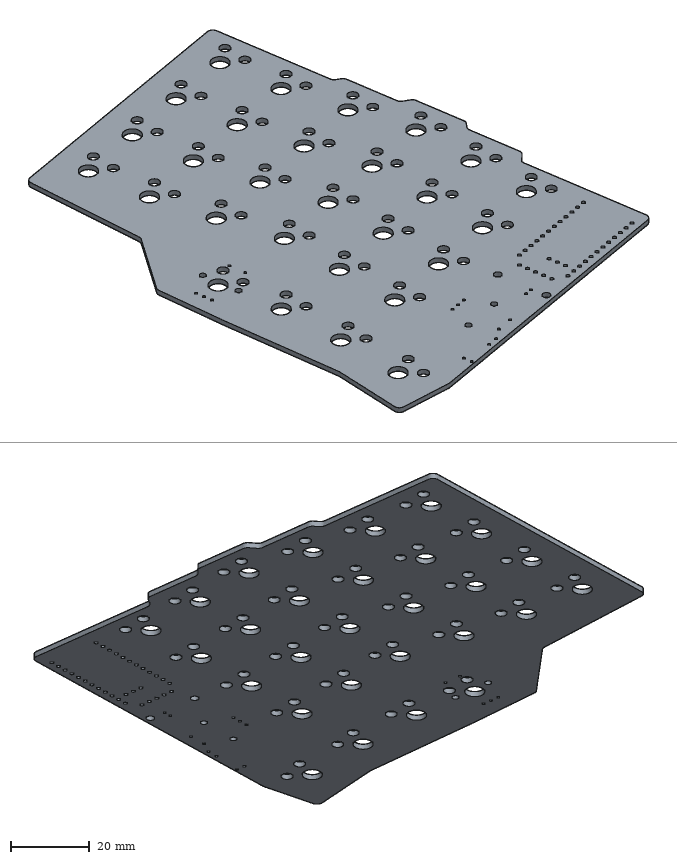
import cadquery as cq
import math

length = 137.8
depth = 109.8
thickness = 1.5

corner_radius = 1.7

outer_columns_top = 104.5
ring_column_top = 106.9
middle_column_top = depth
index_column_top = 107.5
controller_top = 104.0

outline_corners = [
    (0, outer_columns_top),
    (37.9, outer_columns_top),
    (39.8, ring_column_top),
    (57.0, ring_column_top),
    (59.4, middle_column_top),
    (75.8, middle_column_top),
    (77.8, index_column_top),
    (95.0, index_column_top),
    (97.1, controller_top),
    (length, controller_top),
    (length, 16.3),
    (133.9, -0.3),
    (112.3, 4.0),
    (76.2, 4.7),
    (54.1, 5.6),
    (37.9, 21.2),
    (0, 24.2),
]

row_count = 4
row_span = 57.2
column_span = 95.3
first_column_x = 10.3
bottom_row_heights = [36.8, 36.8, 39.3, 42.3, 39.7, 37.2]

thumb_switches = [
    (65.6, 16.3, 0),
    (84.6, 17.2, 0),
    (104.5, 15.3, -5.5),
    (124.5, 12.4, -12.5),
]
stem_hole = 5.1
socket_hole = 3.0
socket_pins = [(-2.6, 5.8), (4.4, 4.7)]

encoders = [(65.6, 17.4, 0), (127.1, 44.9, -90)]
encoder_lug_hole = 1.8
encoder_lug_span = 11.2
encoder_pin_hole = 0.75
encoder_row_span = 5.0
encoder_row_gap = 14.5

header_hole = 1.0
header_pin_count = 12
header_span = 27.8
header_columns = [120.1, 135.3]
header_bottom = 71.2
short_rows = [(127.1, 74.4, 3), (122.6, 67.8, 5)]

mount_hole = 2.2
mount_holes = [(120.5, 61.3), (135.7, 61.3)]

small_hole = 0.75
small_holes = [
    (131.1, 60.9), (131.1, 58.8),
    (136.2, 38.7), (136.2, 35.7),
    (134.5, 27.1), (136.9, 27.1),
]



def place(points, x, y, angle):
    """Turn points about the origin by angle degrees, then move them to (x, y)."""
    c = math.cos(math.radians(angle))
    s = math.sin(math.radians(angle))
    return [(x + px * c - py * s, y + px * s + py * c) for px, py in points]


def drill(plate, points, diameter):
    """Cut a through hole of the given diameter at every point."""
    cutters = cq.Workplane("XY").pushPoints(points).circle(diameter / 2).extrude(thickness)
    return plate.cut(cutters)


def make_plate():
    blank = cq.Workplane("XY").polyline(outline_corners).close().extrude(thickness)
    return blank.edges("|Z").fillet(corner_radius)


def cut_switches(plate):
    row_pitch = row_span / (row_count - 1)
    column_pitch = column_span / (len(bottom_row_heights) - 1)
    switches = list(thumb_switches)
    for column, bottom_y in enumerate(bottom_row_heights):
        x = first_column_x + column * column_pitch
        switches += [(x, bottom_y + row * row_pitch, 0) for row in range(row_count)]

    stems = [(x, y) for x, y, _ in switches]
    pins = [pin for switch in switches for pin in place(socket_pins, *switch)]
    plate = drill(plate, stems, stem_hole)
    return drill(plate, pins, socket_hole)


def cut_encoders(plate):
    lugs = [(side * encoder_lug_span / 2, 0) for side in (-1, 1)]
    pins = [(side * encoder_row_span / 2, -encoder_row_gap / 2) for side in (-1, 0, 1)]
    pins += [(side * encoder_row_span / 2, encoder_row_gap / 2) for side in (-1, 1)]
    for encoder in encoders:
        plate = drill(plate, place(lugs, *encoder), encoder_lug_hole)
        plate = drill(plate, place(pins, *encoder), encoder_pin_hole)
    return plate


def cut_headers(plate):
    pitch = header_span / (header_pin_count - 1)
    pins = []
    for x in header_columns:
        pins += [(x, header_bottom + i * pitch) for i in range(header_pin_count)]
    for first_x, y, count in short_rows:
        pins += [(first_x + i * pitch, y) for i in range(count)]
    return drill(plate, pins, header_hole)


result = make_plate()
result = cut_switches(result)
result = cut_encoders(result)
result = cut_headers(result)
result = drill(result, mount_holes, mount_hole)
result = drill(result, small_holes, small_hole)